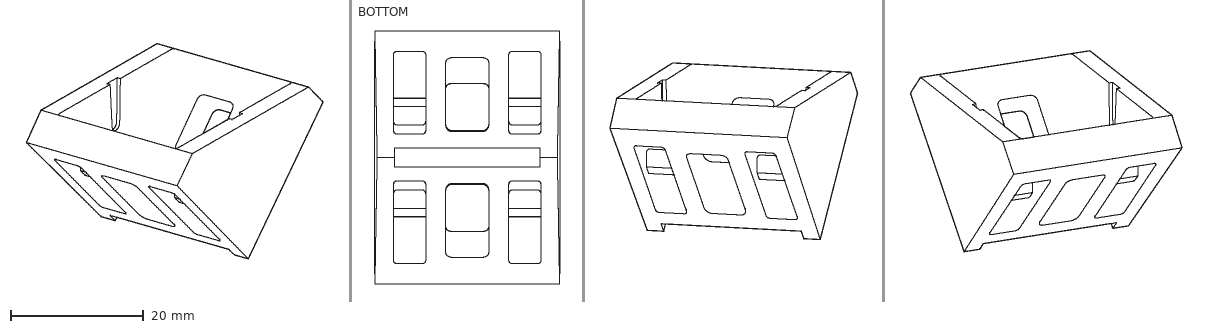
import cadquery as cq
import math


width = 28.0
height = 23.0
leg_length = 27.0
draft = 1.0
tip = leg_length / math.sqrt(2)
rim = 2 * tip - height
leg_rise = height - rim

pocket_width = 22.0
inner_fillet = 0.5

slot_width = 6.5
slot_near = 3.9
slot_far = 15.07
slot_radius = 1.0

recess_offset = 8.7
recess_width = 4.9
recess_near = 3.55
recess_far = 16.0
recess_rise = 5.3

rib_near = 8.9
rib_far = 10.25
rib_rise = 2.58

groove_depth = 0.57
groove_top_width = 2.67
groove_end_radius = 1.0
groove_end_center = 16.0

relief_width = 22.0
relief_height = 1.4

overlap = 1.0


def prism(points, size_x, center_x=0.0):
    """Extrude a (y, z) polygon along X, centred on center_x."""
    profile = cq.Workplane("YZ").workplane(offset=center_x).polyline(points).close()
    return profile.extrude(size_x / 2, both=True)


def drafted_slab(top_width):
    """Slab of the given width at the top of the part, narrowing downwards at the draft angle."""
    slope = math.tan(math.radians(draft))
    z_high = height + overlap
    half_low = top_width / 2 - height * slope
    half_high = top_width / 2 + overlap * slope
    outline = [(-half_low, 0), (half_low, 0), (half_high, z_high), (-half_high, z_high)]
    return cq.Workplane("XZ").polyline(outline).close().extrude(tip, both=True)


def end_shift(rise):
    """Sideways drift of a drafted end wall over the given rise."""
    return rise * math.tan(math.radians(draft))


def make_body():
    profile = [(0, 0), (tip, tip), (rim, height), (-rim, height), (-tip, tip)]
    return prism(profile, width).intersect(drafted_slab(width))


def make_pocket():
    z_high = height + overlap
    y_high = z_high - leg_rise
    vee = prism([(0, leg_rise), (y_high, z_high), (-y_high, z_high)], width)
    return vee.intersect(drafted_slab(pocket_width)).edges("not >Z").fillet(inner_fillet)


def make_groove():
    z_high = height + overlap
    taper = (groove_top_width / 2 - groove_end_radius) / (height - groove_end_center)
    half_high = groove_top_width / 2 + overlap * taper
    outline = (
        cq.Workplane("YZ")
        .moveTo(-half_high, z_high)
        .lineTo(-groove_end_radius, groove_end_center)
        .threePointArc((0, groove_end_center - groove_end_radius), (groove_end_radius, groove_end_center))
        .lineTo(half_high, z_high)
        .close()
    )
    return outline.extrude(width / 2, both=True).intersect(drafted_slab(pocket_width + 2 * groove_depth))


def make_slot():
    """Slot through the -Y leg: upright wall near the corner, far wall square to the leg."""
    margin = 2 * slot_radius
    inner_shift = leg_rise / 2 + margin
    low = slot_near - 2 * margin
    high = slot_near + leg_rise + 2 * margin
    profile = [
        (-slot_near - end_shift(low - slot_near), low),
        (-slot_near - end_shift(high - slot_near), high),
        (-slot_far + inner_shift, slot_far + inner_shift),
        (-slot_far - margin, slot_far - margin),
    ]
    return prism(profile, slot_width).edges("not |X").fillet(slot_radius)


def make_recess(center_x):
    """Recess in the -Y leg, leaving a low rib across its floor."""
    wall_shift = end_shift(recess_rise)
    floor_near = recess_near + wall_shift
    floor_far = recess_far - wall_shift
    cavity_profile = [
        (-recess_near, recess_near),
        (-floor_near, floor_near + recess_rise),
        (recess_rise - floor_far, floor_far),
        (-recess_far, recess_far),
    ]
    cavity = prism(cavity_profile, recess_width, center_x)
    cavity = cavity.edges("not <(0,1,1)").fillet(inner_fillet)

    root_rise = recess_rise + overlap
    root_shift = end_shift(root_rise - rib_rise)
    root_near = rib_near + root_shift
    root_far = rib_far - root_shift
    rib_profile = [
        (-rib_near, rib_near + rib_rise),
        (-root_near, root_near + root_rise),
        (root_rise - root_far, root_far),
        (rib_rise - rib_far, rib_far),
    ]
    return cavity.cut(prism(rib_profile, recess_width, center_x))


def make_relief():
    return cq.Workplane("XY").box(relief_width, 2 * tip, 2 * relief_height)


def cut_both_legs(part, cutter):
    return part.cut(cutter).cut(cutter.mirror("XZ"))


result = make_body().cut(make_pocket()).cut(make_groove()).cut(make_relief())
result = cut_both_legs(result, make_slot())
for side in (-1, 1):
    result = cut_both_legs(result, make_recess(side * recess_offset))